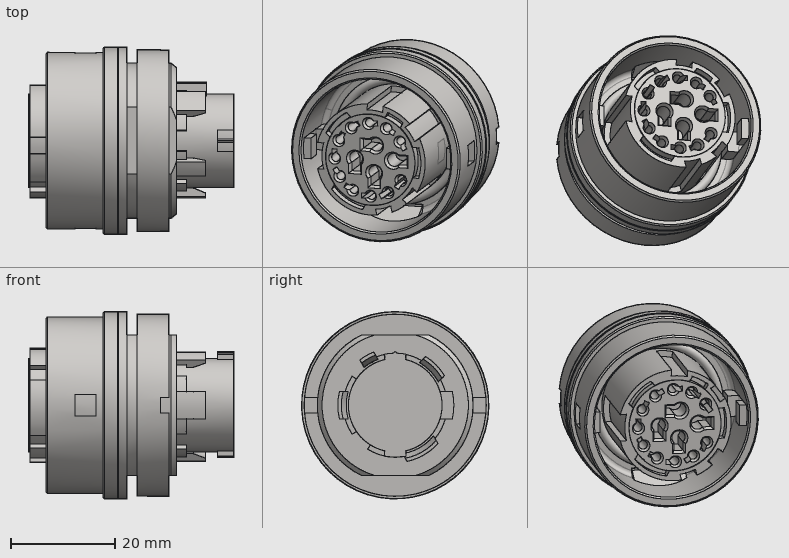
import cadquery as cq
import math

LENGTH = 39.4

SHELL_FRONT = 3.3
SHELL_RADIUS = 17.0
SHELL_EDGE = 0.3
BORE_RADIUS = 15.1
FLOOR_X = 17.35
FLOOR_FILLET = 1.1
SEAM_ANGLE = 20

FLANGE_FRONT = 14.25
FLANGE_BACK = 18.87
FLANGE_RADIUS = 18.0
FLANGE_EDGE = 0.28
GROOVE_X = 17.05
GROOVE_WIDTH = 0.25
GROOVE_DEPTH = 0.1

BODY_BACK = 28.4
BODY_RADIUS = 14.97
BODY_CHAMFER_LENGTH = 1.05
BODY_CHAMFER_DEPTH = 0.9
FLAT_HEIGHT = 13.5
NUT_FRONT = 20.85
NUT_BACK = 26.95
NUT_RADIUS = 17.5
NUT_NOTCH_WIDTH = 3.05
NUT_NOTCH_LENGTH = 1.65

WINDOW_FRONT = 8.9
WINDOW_BACK = 12.9
WINDOW_WIDTH = 4.1
GUIDE_FRONT = 5.2
GUIDE_RADIUS = 13.65
GUIDE_SLOPE = 0.25
SIDE_STOP_RADIUS = 12.8
STOP_STEP = 0.4
RAMP_WIDTH = 10.25
RAMP_FRONT = 12.9
RAMP_RADIUS = 12.85
RAMP_FOOT_RADIUS = 12.45

SLEEVE_FRONT = 0.25
SLEEVE_RADIUS = 11.0
CORE_RADIUS = 9.003
SEAL_THICKNESS = 1.8
NOTCH_FLOOR_RADIUS = 9.8
SLEEVE_NOTCHES = [(0, 5.2), (95, 3.15), (145, 3.3), (220, 3.15), (255, 3.15)]
POCKET_RADIUS = 10.13
POCKET_DEPTH = 1.9

CAVITY_DEPTH = 5.9
POWER_POSITIONS = [(3.07, 0, 270), (-1.0, 2.9, 0), (-4.57, 0.15, 180), (-0.8, -2.55, 270)]
POWER_RADIUS = 1.3
POWER_SLOT_WIDTH = 1.77
POWER_SLOT_REACH = 2.6
POWER_CHAMFER = 0.4
POWER_CHAMFER_DEPTH = 0.8
SIGNAL_COUNT = 11
SIGNAL_CIRCLE_RADIUS = 7.17
SIGNAL_FIRST_ANGLE = 210.4
SIGNAL_PITCH = 29.6
SIGNAL_RADIUS = 0.83
SIGNAL_SLOT_WIDTH = 1.0
SIGNAL_SLOT_REACH = 1.8
SIGNAL_CHAMFER = 0.35
SIGNAL_CHAMFER_DEPTH = 0.75

FINGERS = [(44.5, 5.15, 6.0), (120, 3.07, 3.55), (180, 5.2, 6.03), (300, 6.85, 7.17)]
FINGER_RADIUS = 11.05
FINGER_BACK = 34.0
FLARE_START = 31.65
FLARE_RADIUS = 10.35
UNDERCUT_RADIUS = 9.93
HOOK_RADIUS = 9.4
COLLAR_BACK = 30.3
COLLAR_RADIUS = 9.95
COLLAR_SEGMENTS = [(-122, 78), (102, 118), (146, 214)]
KEY_BACK = 34.2
KEY_RADIUS = 11.25
KEY_WIDTH = 5.2

TAB_FRONT = 36.25
TAB_WIDTH = 4.1
TAB_RADIUS = 10.0
RIDGE_HEIGHT = 10.32
RIDGE_WIDTH = 0.7


def revolved(points):
    """Turn an (X, radius) outline about the X axis."""
    return cq.Workplane("XY").polyline(points).close().revolve(360, (0, 0, 0), (1, 0, 0))


def cylinder(radius, start, end):
    return cq.Workplane("YZ", origin=(start, 0, 0)).circle(radius).extrude(end - start)


def block(start, end, y_range, z_range):
    """Box between two X positions, with Y and Z given as (low, high)."""
    size = (end - start, y_range[1] - y_range[0], z_range[1] - z_range[0])
    corner = (start, y_range[0], z_range[0])
    return cq.Workplane("XY").box(*size, centered=False).translate(corner)


def polar(radius, angle):
    return (radius * math.cos(math.radians(angle)), radius * math.sin(math.radians(angle)))


def sector(inner, outer, angles, start, end):
    """Ring sector between two angles, extruded along X."""
    first, last = angles
    middle = (first + last) / 2
    return (
        cq.Workplane("YZ", origin=(start, 0, 0))
        .moveTo(*polar(inner, first))
        .lineTo(*polar(outer, first))
        .threePointArc(polar(outer, middle), polar(outer, last))
        .lineTo(*polar(inner, last))
        .threePointArc(polar(inner, middle), polar(inner, first))
        .close()
        .extrude(end - start)
    )


def ring_slab(inner, outer, angle, width, start, end):
    """Piece of a ring with parallel sides, centred on an angle."""
    bar = block(start, end, (0, outer), (-width / 2, width / 2)).rotate((0, 0, 0), (1, 0, 0), angle)
    return bar.intersect(cylinder(outer, start, end)).cut(cylinder(inner, start, end))


def make_shell():
    """Shell, flange and insert core in one turned piece, with an O-ring half sunk in the floor."""
    seal_radius = SEAL_THICKNESS / 2
    flange_groove_floor = FLANGE_RADIUS - GROOVE_DEPTH
    edge_radius = FLANGE_RADIUS - FLANGE_EDGE
    fillet_offset = FLOOR_FILLET * (1 - math.sqrt(0.5))
    return (
        cq.Workplane("XY")
        .moveTo(0, 0)
        .lineTo(0, CORE_RADIUS)
        .lineTo(SLEEVE_FRONT, CORE_RADIUS)
        .lineTo(SLEEVE_FRONT, SLEEVE_RADIUS)
        .lineTo(FLOOR_X, SLEEVE_RADIUS)
        .threePointArc(
            (FLOOR_X - seal_radius, SLEEVE_RADIUS + seal_radius),
            (FLOOR_X, SLEEVE_RADIUS + SEAL_THICKNESS),
        )
        .lineTo(FLOOR_X, BORE_RADIUS - FLOOR_FILLET)
        .threePointArc(
            (FLOOR_X - fillet_offset, BORE_RADIUS - fillet_offset),
            (FLOOR_X - FLOOR_FILLET, BORE_RADIUS),
        )
        .lineTo(SHELL_FRONT + SHELL_EDGE, BORE_RADIUS)
        .lineTo(SHELL_FRONT, BORE_RADIUS + SHELL_EDGE)
        .lineTo(SHELL_FRONT, SHELL_RADIUS - SHELL_EDGE)
        .lineTo(SHELL_FRONT + SHELL_EDGE, SHELL_RADIUS)
        .lineTo(FLANGE_FRONT, SHELL_RADIUS)
        .lineTo(FLANGE_FRONT, edge_radius)
        .lineTo(FLANGE_FRONT + FLANGE_EDGE, FLANGE_RADIUS)
        .lineTo(GROOVE_X, FLANGE_RADIUS)
        .lineTo(GROOVE_X, flange_groove_floor)
        .lineTo(GROOVE_X + GROOVE_WIDTH, flange_groove_floor)
        .lineTo(GROOVE_X + GROOVE_WIDTH, FLANGE_RADIUS)
        .lineTo(FLANGE_BACK, FLANGE_RADIUS)
        .lineTo(FLANGE_BACK, 0)
        .close()
        .revolve(360, (0, 0, 0), (1, 0, 0))
        .rotate((0, 0, 0), (1, 0, 0), SEAM_ANGLE)
    )


def make_body():
    body = revolved([
        (FLANGE_BACK, 0),
        (FLANGE_BACK, BODY_RADIUS),
        (BODY_BACK - BODY_CHAMFER_LENGTH, BODY_RADIUS),
        (BODY_BACK, BODY_RADIUS - BODY_CHAMFER_DEPTH),
        (BODY_BACK, 0),
    ])
    across = (-BODY_RADIUS, BODY_RADIUS)
    return body.intersect(block(FLANGE_BACK, BODY_BACK, across, (-FLAT_HEIGHT, FLAT_HEIGHT)))


def make_nut():
    """Solid disc across the body flats, notched down to the body on both sides at its back."""
    notch_front = NUT_BACK - NUT_NOTCH_LENGTH
    half = NUT_NOTCH_WIDTH / 2
    notches = block(notch_front, NUT_BACK, (-NUT_RADIUS, NUT_RADIUS), (-half, half))
    notches = notches.cut(cylinder(BODY_RADIUS, notch_front, NUT_BACK))
    return cylinder(NUT_RADIUS, NUT_FRONT, NUT_BACK).cut(notches)


def make_windows():
    half = WINDOW_WIDTH / 2
    reach = FLANGE_RADIUS
    cut = block(WINDOW_FRONT, WINDOW_BACK, (-reach, reach), (-half, half))
    return cut.cut(cylinder(SLEEVE_RADIUS, WINDOW_FRONT, WINDOW_BACK))


def make_stops():
    """Guides and stops in front of and behind the windows, and ramps above and below the insert."""
    step_x = FLOOR_X - STOP_STEP
    outside = BORE_RADIUS + STOP_STEP
    half_width = WINDOW_WIDTH / 2
    guide_outline = [
        (GUIDE_FRONT, outside),
        (GUIDE_FRONT, BORE_RADIUS),
        (GUIDE_FRONT + GUIDE_SLOPE, GUIDE_RADIUS),
        (WINDOW_FRONT, GUIDE_RADIUS),
        (WINDOW_FRONT, outside),
    ]
    guide = cq.Workplane("XY").polyline(guide_outline).close().extrude(half_width, both=True)
    stop = block(WINDOW_BACK, FLOOR_X, (SIDE_STOP_RADIUS, outside), (-half_width, half_width))
    side = guide.union(stop)
    ramp_outline = [
        (RAMP_FRONT, outside),
        (RAMP_FRONT, BORE_RADIUS),
        (step_x, RAMP_RADIUS),
        (step_x, RAMP_FOOT_RADIUS),
        (FLOOR_X, RAMP_FOOT_RADIUS),
        (FLOOR_X, outside),
    ]
    ramp = cq.Workplane("XZ").polyline(ramp_outline).close().extrude(RAMP_WIDTH / 2, both=True)
    stops = side.union(side.mirror("XZ")).union(ramp).union(ramp.mirror("XY"))
    return stops.intersect(cylinder(SHELL_RADIUS - STOP_STEP, GUIDE_FRONT, FLOOR_X))


def keyhole(radius, slot_width, slot_reach, start, depth, taper_offset=0.0):
    """Round hole with a slot towards +Y; a taper offset narrows it along its depth."""
    taper = math.degrees(math.atan2(taper_offset, depth))
    plane = cq.Workplane("YZ", origin=(start, 0, 0))
    hole = plane.circle(radius).extrude(depth, taper=taper)
    slot = plane.center(slot_reach / 2, 0).rect(slot_reach, slot_width).extrude(depth, taper=taper)
    return hole.union(slot)


def power_cavity():
    flare = 2 * POWER_CHAMFER
    mouth = keyhole(
        POWER_RADIUS + POWER_CHAMFER, POWER_SLOT_WIDTH + flare, POWER_SLOT_REACH + POWER_CHAMFER,
        0, POWER_CHAMFER_DEPTH, POWER_CHAMFER,
    )
    return keyhole(POWER_RADIUS, POWER_SLOT_WIDTH, POWER_SLOT_REACH, 0, CAVITY_DEPTH).union(mouth)


def signal_cavity():
    mouth = revolved([
        (0, 0),
        (0, SIGNAL_RADIUS + SIGNAL_CHAMFER),
        (SIGNAL_CHAMFER_DEPTH, SIGNAL_RADIUS),
        (SIGNAL_CHAMFER_DEPTH, 0),
    ])
    return keyhole(SIGNAL_RADIUS, SIGNAL_SLOT_WIDTH, SIGNAL_SLOT_REACH, 0, CAVITY_DEPTH).union(mouth)


def placed(cavity, y, z, angle):
    return cavity.rotate((0, 0, 0), (1, 0, 0), angle).translate((0, y, z))


def cut_insert(insert):
    """Cut the notches, finger pockets and contact cavities into the socket face."""
    pocket_back = SLEEVE_FRONT + POCKET_DEPTH
    notch_back = FLOOR_X - SEAL_THICKNESS
    for angle, width in SLEEVE_NOTCHES:
        notch = ring_slab(NOTCH_FLOOR_RADIUS, SLEEVE_RADIUS + 0.4, angle, width, 0, notch_back)
        insert = insert.cut(notch)
    for angle, _, width in FINGERS:
        pocket = ring_slab(CORE_RADIUS, POCKET_RADIUS, angle, width, SLEEVE_FRONT, pocket_back)
        insert = insert.cut(pocket)
    for y, z, angle in POWER_POSITIONS:
        insert = insert.cut(placed(power_cavity(), y, z, angle))
    for index in range(SIGNAL_COUNT):
        angle = SIGNAL_FIRST_ANGLE + index * SIGNAL_PITCH
        y, z = polar(SIGNAL_CIRCLE_RADIUS, angle)
        insert = insert.cut(placed(signal_cavity(), y, z, angle + 90))
    return insert


def make_coupling():
    """Barrel with its collar segments, key and flared latch fingers."""
    root = CORE_RADIUS - 0.4
    finger_bore = revolved([
        (BODY_BACK, 0),
        (BODY_BACK, UNDERCUT_RADIUS),
        (COLLAR_BACK, UNDERCUT_RADIUS),
        (COLLAR_BACK, HOOK_RADIUS),
        (FLARE_START, HOOK_RADIUS),
        (FINGER_BACK, FLARE_RADIUS),
        (FINGER_BACK, 0),
    ])
    key_box = block(BODY_BACK, KEY_BACK, (0, KEY_RADIUS), (-KEY_WIDTH / 2, KEY_WIDTH / 2))
    coupling = cylinder(CORE_RADIUS, BODY_BACK, LENGTH)
    coupling = coupling.union(key_box.intersect(cylinder(KEY_RADIUS, BODY_BACK, KEY_BACK)))
    for angles in COLLAR_SEGMENTS:
        coupling = coupling.union(sector(root, COLLAR_RADIUS, angles, BODY_BACK, COLLAR_BACK))
    for angle, width, _ in FINGERS:
        finger = ring_slab(root, FINGER_RADIUS, angle, width, BODY_BACK, FINGER_BACK)
        coupling = coupling.union(finger.cut(finger_bore))
    return coupling


def make_tabs():
    """Tabs above and below the barrel end; the upper one carries a ridge."""
    half = TAB_WIDTH / 2
    tabs = cylinder(TAB_RADIUS, TAB_FRONT, LENGTH)
    tabs = tabs.intersect(block(TAB_FRONT, LENGTH, (-half, half), (-TAB_RADIUS, TAB_RADIUS)))
    ridge_outline = [
        (-RIDGE_WIDTH / 2, CORE_RADIUS),
        (-RIDGE_WIDTH / 2, TAB_RADIUS),
        (0, RIDGE_HEIGHT),
        (RIDGE_WIDTH / 2, TAB_RADIUS),
        (RIDGE_WIDTH / 2, CORE_RADIUS),
    ]
    ridge_plane = cq.Workplane("YZ", origin=(TAB_FRONT, 0, 0))
    ridge = ridge_plane.polyline(ridge_outline).close().extrude(LENGTH - TAB_FRONT)
    return tabs.union(ridge)


shell = cut_insert(make_shell()).union(make_stops()).cut(make_windows())
rear = make_body().union(make_nut()).union(make_coupling()).union(make_tabs())
result = shell.union(rear)